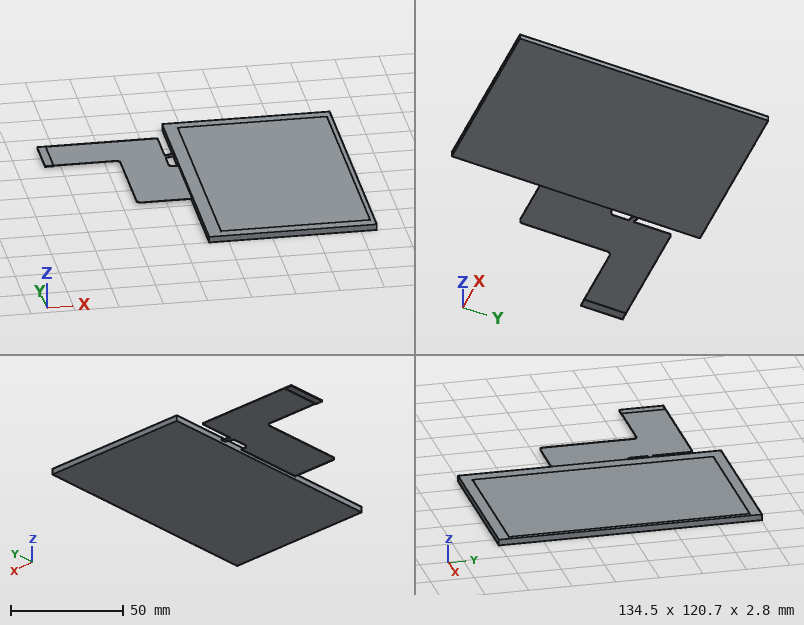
import cadquery as cq

TOTAL_X = 134.5
PANEL_X = 75.8
PANEL_Y = 120.7
PANEL_Z = 2.8

SCREEN_LEFT_MARGIN = 6.2
SCREEN_RIGHT_MARGIN = 2.2
SCREEN_END_MARGIN = 5.1
SCREEN_DEPTH = 0.7

CABLE_THICKNESS = 0.3
CABLE_TOP_DROP = 1.1
CABLE_BACK_INSET = 12.0
TAIL_WIDTH = 20.3
CABLE_LENGTH_Y = 65.3
ARM_REACH = 24.9
NOTCH_GAP = 4.2
NOTCH_LENGTH = 30.1
BACK_CORNER_RADIUS = 1.0
BEND_RADIUS = 2.0

STRIP_WIDTH_Y = 2.5
STRIP_RISE = 1.3
STRIP_INSET = 29.0

STIFFENER_LENGTH = 3.9
STIFFENER_THICKNESS = 0.3

PANEL_RIGHT = TOTAL_X / 2
PANEL_LEFT = PANEL_RIGHT - PANEL_X
PANEL_BACK = PANEL_Y / 2
PANEL_TOP = PANEL_Z / 2

TAIL_END = -TOTAL_X / 2
ARM_LEFT = PANEL_LEFT - ARM_REACH
ARM_RIGHT = PANEL_LEFT - NOTCH_GAP
CABLE_BACK = PANEL_BACK - CABLE_BACK_INSET
CABLE_FRONT = CABLE_BACK - CABLE_LENGTH_Y
TAIL_FRONT = CABLE_BACK - TAIL_WIDTH
NOTCH_FRONT = CABLE_BACK - NOTCH_LENGTH
CABLE_BOTTOM = PANEL_TOP - CABLE_TOP_DROP - CABLE_THICKNESS


def box_between(x_min, x_max, y_min, y_max, z_min, z_max):
    """Box given by its limits along each axis."""
    size = (x_max - x_min, y_max - y_min, z_max - z_min)
    return cq.Workplane("XY").box(*size, centered=False).translate((x_min, y_min, z_min))


def make_screen():
    """Rectangular screen whose top is level with the panel top."""
    half_length = PANEL_Y / 2 - SCREEN_END_MARGIN
    return box_between(
        PANEL_LEFT + SCREEN_LEFT_MARGIN, PANEL_RIGHT - SCREEN_RIGHT_MARGIN,
        -half_length, half_length,
        PANEL_TOP - SCREEN_DEPTH, PANEL_TOP,
    )


def make_panel(screen):
    """Flat panel with a recess that fits the screen."""
    plate = box_between(PANEL_LEFT, PANEL_RIGHT, -PANEL_BACK, PANEL_BACK, -PANEL_TOP, PANEL_TOP)
    return plate.cut(screen)


def make_cable_sheet():
    """Stepped flat sheet with rounded bends and a notch beside the panel."""
    outline = [
        (TAIL_END, CABLE_BACK),
        (ARM_RIGHT, CABLE_BACK),
        (ARM_RIGHT, NOTCH_FRONT),
        (PANEL_LEFT, NOTCH_FRONT),
        (PANEL_LEFT, CABLE_FRONT),
        (ARM_LEFT, CABLE_FRONT),
        (ARM_LEFT, TAIL_FRONT),
        (TAIL_END, TAIL_FRONT),
    ]
    sheet = cq.Workplane("XY", origin=(0, 0, CABLE_BOTTOM)).polyline(outline).close().extrude(CABLE_THICKNESS)

    def edge_at(x, y):
        return cq.selectors.NearestToPointSelector((x, y, CABLE_BOTTOM + CABLE_THICKNESS / 2))

    sheet = sheet.edges("|Z").edges(edge_at(ARM_RIGHT, CABLE_BACK)).fillet(BACK_CORNER_RADIUS)
    bends = [(ARM_RIGHT, NOTCH_FRONT), (ARM_LEFT, CABLE_FRONT), (ARM_LEFT, TAIL_FRONT)]
    for x, y in bends:
        sheet = sheet.edges("|Z").edges(edge_at(x, y)).fillet(BEND_RADIUS)
    return sheet


def make_strip():
    """Slanted strip from the cable arm up to the panel side."""
    upper_at_panel = PANEL_BACK - STRIP_INSET
    upper_at_arm = upper_at_panel - STRIP_RISE
    outline = [
        (PANEL_LEFT, upper_at_panel),
        (PANEL_LEFT, upper_at_panel - STRIP_WIDTH_Y),
        (ARM_RIGHT, upper_at_arm - STRIP_WIDTH_Y),
        (ARM_RIGHT, upper_at_arm),
    ]
    return cq.Workplane("XY", origin=(0, 0, CABLE_BOTTOM)).polyline(outline).close().extrude(CABLE_THICKNESS)


def make_stiffener():
    """Thin pad that thickens the underside of the cable end."""
    return box_between(
        TAIL_END, TAIL_END + STIFFENER_LENGTH,
        TAIL_FRONT, CABLE_BACK,
        CABLE_BOTTOM - STIFFENER_THICKNESS, CABLE_BOTTOM,
    )


def make_cable():
    """One-piece cable: sheet, bridging strip and thickened end."""
    return make_cable_sheet().union(make_strip()).union(make_stiffener())


screen = make_screen()
panel = make_panel(screen)
cable = make_cable()

result = cq.Compound.makeCompound([panel.val(), screen.val(), cable.val()])